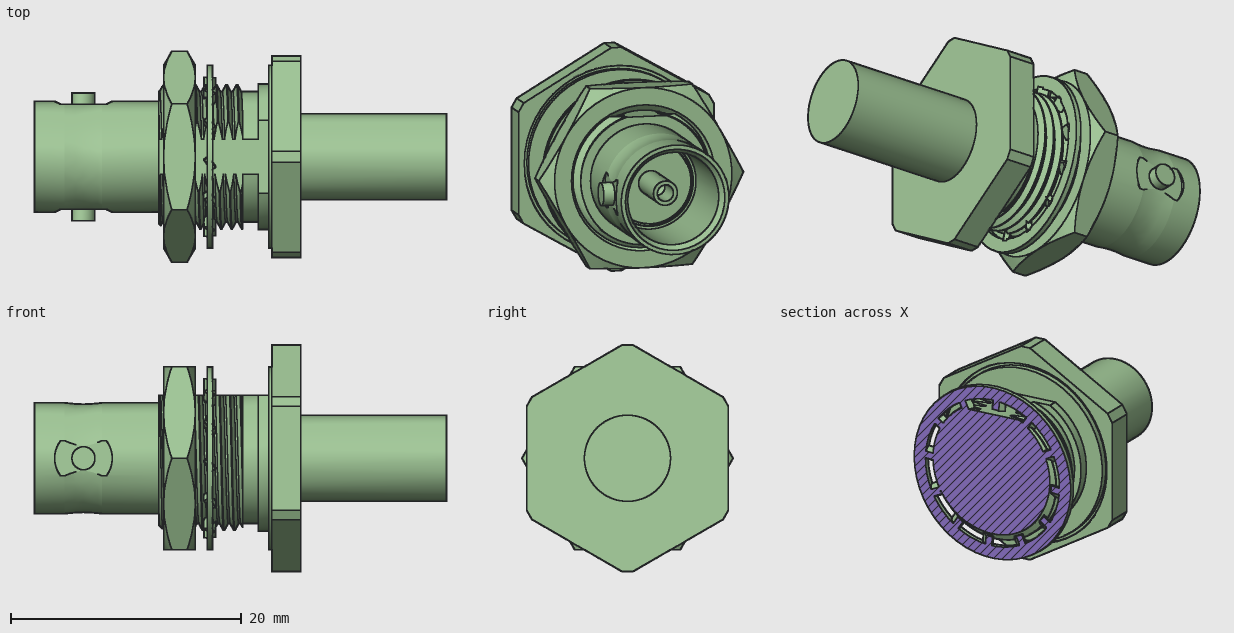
import cadquery as cq
import math


groove_start = 2.6
groove_end = 5.87
thread_start = 10.8
thread_end = 18.05
collar_start = 19.4
shim_start = 20.3
flange_start = 20.6
flange_end = 23.1
total_length = 35.74

barrel_radius = 4.82
groove_radius = 4.7
thread_radius = 6.27
thread_root_radius = 5.68
thread_pitch = 0.907
thread_crest_width = 0.08
thread_root_width = 0.92 * thread_pitch
thread_root_overlap = 0.1
thread_lead_in_radius = 5.82
thread_crest_station = 16.66
collar_radius = 6.33
keying_flat_height = 5.47
shim_radius = 7.94
shim_groove_radius = 8.24
shim_groove_depth = 0.3
tail_radius = 3.74

hex_flats_to_corners = math.cos(math.pi / 6)
flange_across_flats = 17.5
flange_across_trimmed_corners = 19.68

lug_station = 4.25
lug_radius = 1.0
lug_tip = 5.55
lug_seat_radius = 2.5
lug_seat_height = 4.57

socket_radius = 4.07
socket_mouth_radius = 4.45
socket_mouth_depth = 0.65
socket_depth = 8.6
insulator_radius = 3.61
insulator_gap_radius = 3.83
insulator_gap_depth = 0.4
contact_radius = 1.07
contact_bore_radius = 0.72
contact_length = 5.2
contact_bore_depth = 3.0
contact_bore_point_depth = 0.43

nut_start = 11.2
nut_end = 13.95
nut_across_corners = 18.33
nut_bevel_angle = 30.0
nut_bore_radius = 5.87
nut_countersink_radius = 6.42

washer_start = 14.97
washer_thickness = 0.48
washer_radius = 7.94
washer_inner_radius = 6.75
tooth_count = 12
tooth_inner_radius = 5.9
tooth_width = 1.1
tooth_ring_overlap = 0.15
tooth_twist = 35.0
first_tooth_angle = 5.0


def cylinder(radius, start, end):
    return cq.Workplane("YZ").workplane(offset=start).circle(radius).extrude(end - start)


def cone(start_radius, end_radius, start, end):
    profile = [(start, 0), (start, start_radius), (end, end_radius)]
    if end_radius > 0:
        profile.append((end, 0))
    return cq.Workplane("XY").polyline(profile).close().revolve(360, (0, 0, 0), (1, 0, 0))


def hexagon(across_corners, start, end, corner_angle):
    """Hexagonal prism along X with a corner at corner_angle, measured from +Y."""
    prism = cq.Workplane("YZ").workplane(offset=start).polygon(6, across_corners).extrude(end - start)
    return prism.rotate((0, 0, 0), (1, 0, 0), corner_angle)


def make_barrel():
    """Front barrel with a shallow concave band around the lugs."""
    return (
        cq.Workplane("XY")
        .lineTo(0, barrel_radius)
        .lineTo(groove_start, barrel_radius)
        .threePointArc(((groove_start + groove_end) / 2, groove_radius), (groove_end, barrel_radius))
        .lineTo(thread_start, barrel_radius)
        .lineTo(thread_start, 0)
        .close()
        .revolve(360, (0, 0, 0), (1, 0, 0))
    )


def add_lugs(barrel):
    """Two opposed bayonet lugs, each rising from a flat round seat."""
    for side in (1, -1):
        plane = cq.Plane(origin=(lug_station, 0, 0), xDir=(1, 0, 0), normal=(0, side, 0))
        seat_face = cq.Workplane(plane).workplane(offset=lug_seat_height)
        seat = seat_face.circle(lug_seat_radius).extrude(barrel_radius - lug_seat_height)
        lug = cq.Workplane(plane).circle(lug_radius).extrude(lug_tip)
        barrel = barrel.cut(seat).union(lug)
    return barrel


def make_thread():
    """Right-handed V ridge swept along a helix, trimmed to the threaded length."""
    turns_before = math.ceil((thread_crest_station - thread_start) / thread_pitch) + 1
    helix_start = thread_crest_station - turns_before * thread_pitch
    helix_length = thread_end - helix_start + thread_pitch
    ridge_base_radius = thread_root_radius - thread_root_overlap
    root_half_width = thread_root_width / 2
    crest_half_width = thread_crest_width / 2
    ridge_profile = [
        (ridge_base_radius, -root_half_width),
        (thread_radius, -crest_half_width),
        (thread_radius, crest_half_width),
        (ridge_base_radius, root_half_width),
    ]
    helix = cq.Wire.makeHelix(thread_pitch, helix_length, thread_root_radius)
    ridge = cq.Workplane("XZ").polyline(ridge_profile).close().sweep(cq.Workplane(helix), isFrenet=True)
    ridge = ridge.rotate((0, 0, 0), (0, 1, 0), 90)
    ridge = ridge.rotate((0, 0, 0), (1, 0, 0), 90)
    ridge = ridge.translate((helix_start, 0, 0))
    threaded_length = thread_end - thread_start
    ridge = ridge.intersect(
        cone(thread_lead_in_radius, thread_lead_in_radius + threaded_length, thread_start, thread_end)
    )
    return cylinder(thread_root_radius, thread_start, collar_start).union(ridge)


def make_neck():
    """Threaded neck and collar with the keying flat along the +Z side."""
    neck = make_thread().union(cylinder(collar_radius, collar_start, shim_start))
    above_flat = (
        cq.Workplane("XY")
        .box(shim_start - thread_start, 2 * collar_radius, collar_radius, centered=(False, True, False))
        .translate((thread_start, 0, keying_flat_height))
    )
    return neck.cut(above_flat)


def make_flange():
    """Hexagonal flange with trimmed corners and a raised round face ringed by a narrow groove."""
    across_corners = flange_across_flats / hex_flats_to_corners
    trim_across_corners = flange_across_trimmed_corners / hex_flats_to_corners
    flange = hexagon(across_corners, flange_start, flange_end, 90)
    flange = flange.intersect(hexagon(trim_across_corners, flange_start, flange_end, 0))
    groove_floor = flange_start + shim_groove_depth
    flange = flange.cut(cylinder(shim_groove_radius, flange_start, groove_floor))
    return flange.union(cylinder(shim_radius, shim_start, groove_floor))


def make_nut():
    """Hexagonal nut, beveled and countersunk on both faces."""
    nut = hexagon(nut_across_corners, nut_start, nut_end, 0)
    corner_radius = nut_across_corners / 2
    face_radius = corner_radius * hex_flats_to_corners
    bevel_slope = math.tan(math.radians(nut_bevel_angle))
    reach = nut_end - nut_start
    wide_radius = face_radius + reach / bevel_slope
    nut = nut.intersect(cone(face_radius, wide_radius, nut_start, nut_end))
    nut = nut.intersect(cone(wide_radius, face_radius, nut_start, nut_end))
    sink = nut_countersink_radius - nut_bore_radius
    nut = nut.cut(cylinder(nut_bore_radius, nut_start, nut_end))
    nut = nut.cut(cone(nut_countersink_radius, nut_bore_radius, nut_start, nut_start + sink))
    return nut.cut(cone(nut_bore_radius, nut_countersink_radius, nut_end - sink, nut_end))


def make_washer():
    """Flat ring with twisted teeth pointing inward onto the thread."""
    ring = cylinder(washer_radius, washer_start, washer_start + washer_thickness)
    ring = ring.cut(cylinder(washer_inner_radius, washer_start, washer_start + washer_thickness))
    tooth_length = washer_inner_radius + tooth_ring_overlap - tooth_inner_radius
    tooth = (
        cq.Workplane("XY")
        .box(washer_thickness, tooth_length, tooth_width, centered=(True, False, True))
        .rotate((0, 0, 0), (0, 1, 0), tooth_twist)
        .translate((washer_start + washer_thickness / 2, tooth_inner_radius, 0))
    )
    for index in range(tooth_count):
        tooth_angle = first_tooth_angle + index * 360 / tooth_count
        ring = ring.union(tooth.rotate((0, 0, 0), (1, 0, 0), tooth_angle))
    return ring


def cut_socket(body):
    """Open the socket and leave the insulator face and hollow contact inside it."""
    body = body.cut(cylinder(socket_radius, 0, socket_depth))
    body = body.cut(cone(socket_mouth_radius, socket_radius, 0, socket_mouth_depth))
    gap_floor = socket_depth + insulator_gap_depth
    gap = cylinder(insulator_gap_radius, socket_depth, gap_floor)
    body = body.cut(gap.cut(cylinder(insulator_radius, socket_depth, gap_floor)))
    contact_tip = socket_depth - contact_length
    body = body.union(cylinder(contact_radius, contact_tip, socket_depth))
    bore_bottom = contact_tip + contact_bore_depth
    body = body.cut(cylinder(contact_bore_radius, contact_tip, bore_bottom))
    point_end = bore_bottom + contact_bore_point_depth
    return body.cut(cone(contact_bore_radius, 0, bore_bottom, point_end))


body = add_lugs(make_barrel())
body = body.union(make_neck())
body = body.union(make_flange())
body = body.union(cylinder(tail_radius, flange_end, total_length))
body = cut_socket(body)
body = body.union(make_washer())
result = body.union(make_nut())